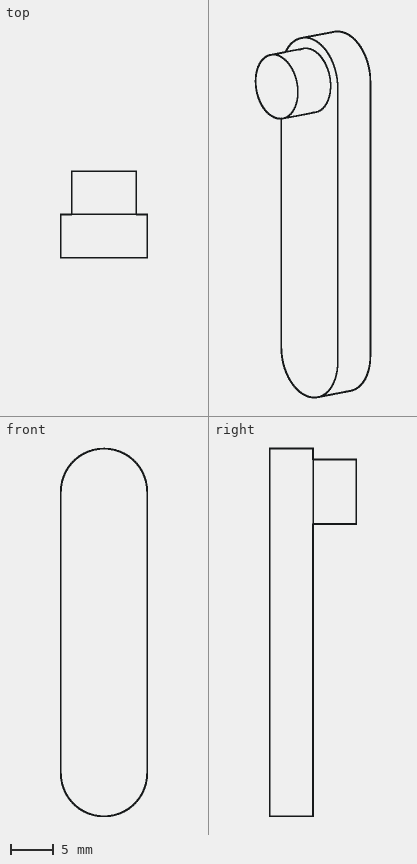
import cadquery as cq

bar_width = 10.16
bar_length = 43.18
bar_thickness = 5.08
pin_diameter = 7.62
pin_length = 5.08

end_spacing = bar_length - bar_width


def make_bar():
    """Flat bar with full-round ends, upper end centred on the origin, front face at -Y."""
    return (
        cq.Workplane("XZ")
        .center(0, -end_spacing / 2)
        .slot2D(bar_length, bar_width, angle=90)
        .extrude(bar_thickness)
    )


def make_pin():
    """Round pin on the back of the bar, concentric with the upper rounded end."""
    return cq.Workplane("XZ").circle(pin_diameter / 2).extrude(-pin_length)


result = make_bar().union(make_pin())